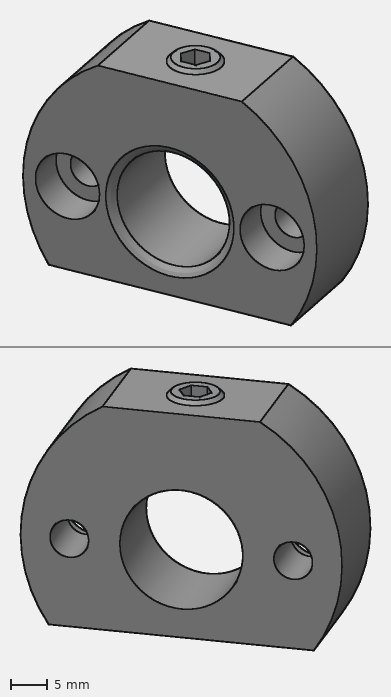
import cadquery as cq
import math

body_radius = 22.95
body_width = 15.0
top_flat_height = 20.0
bottom_flat_depth = 13.0

bore_radius = 8.75
mouth_middle_radius = 9.4
mouth_outer_radius = 10.0
outer_cone_depth = 0.35
inner_cone_depth = 0.65

bolt_offset = 15.98
bolt_hole_diameter = 5.5
counterbore_diameter = 10.0
counterbore_depth = 6.0

screw_radius = 4.0
screw_top_height = 20.6
screw_chamfer = 0.6
hex_across_flats = 4.0
hex_depth = 3.0
hex_tip_angle = 120.0

front_y = -body_width / 2


def make_body():
    """Extrude the disc along Y and keep the band between the two flats."""
    disc = cq.Workplane("XZ").circle(body_radius).extrude(body_width / 2, both=True)
    band_height = top_flat_height + bottom_flat_depth
    band_center = (top_flat_height - bottom_flat_depth) / 2
    band = cq.Workplane("XY").box(2 * body_radius, body_width, band_height)
    return disc.intersect(band.translate((0, 0, band_center)))


def make_bore():
    """Revolve the bore and its two conical steps about the Y axis."""
    middle_y = front_y + outer_cone_depth
    inner_y = middle_y + inner_cone_depth
    profile = [
        (0, front_y),
        (mouth_outer_radius, front_y),
        (mouth_middle_radius, middle_y),
        (bore_radius, inner_y),
        (bore_radius, body_width / 2),
        (0, body_width / 2),
    ]
    return cq.Workplane("XY").polyline(profile).close().revolve(360, (0, 0), (0, 1))


def cut_bolt_holes(body):
    """Cut both bolt holes through, counterbored from the -Y face."""
    front_face = cq.Workplane("XZ", origin=(0, front_y, 0))
    centers = front_face.pushPoints([(-bolt_offset, 0), (bolt_offset, 0)])
    holes = centers.circle(bolt_hole_diameter / 2).extrude(-body_width)
    counterbores = centers.circle(counterbore_diameter / 2).extrude(-counterbore_depth)
    return body.cut(holes).cut(counterbores)


def make_screw_head():
    """Make the exposed, chamfered end of the set screw, seated in the body."""
    seated_z = screw_top_height - 2 * screw_chamfer
    head = cq.Workplane("XY", origin=(0, 0, seated_z)).circle(screw_radius)
    return head.extrude(screw_top_height - seated_z).faces(">Z").chamfer(screw_chamfer)


def make_hex_socket():
    """Make the hexagonal socket with a conical drill-point bottom."""
    corner_radius = hex_across_flats / math.sqrt(3)
    tip_depth = corner_radius / math.tan(math.radians(hex_tip_angle / 2))
    tip_z = screw_top_height - hex_depth - tip_depth
    prism = cq.Workplane("XY", origin=(0, 0, tip_z)).polygon(6, 2 * corner_radius)
    prism = prism.extrude(screw_top_height - tip_z)
    profile = [
        (0, tip_z),
        (corner_radius, tip_z + tip_depth),
        (corner_radius, screw_top_height),
        (0, screw_top_height),
    ]
    drill = cq.Workplane("XZ").polyline(profile).close().revolve(360, (0, 0), (0, 1))
    return prism.intersect(drill)


body = cut_bolt_holes(make_body().cut(make_bore()))
result = body.union(make_screw_head()).cut(make_hex_socket())